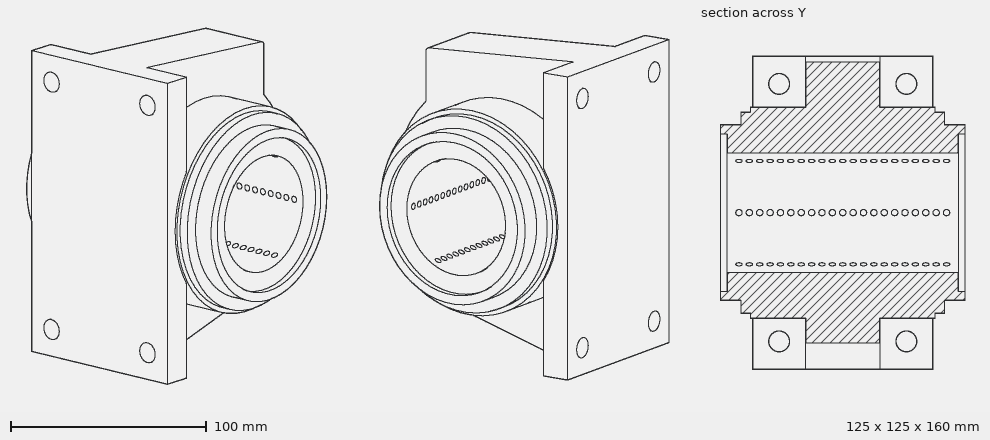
import cadquery as cq
import math

plate_width = 92.0
plate_height = 160.0
plate_thickness = 15.0
bolt_hole_diameter = 10.5
bolt_spacing_x = 65.0
bolt_spacing_z = 131.5

bore_axis_y = 60.0
web_width = 38.0
web_radius = 65.0
lug_back_y = bore_axis_y + 46.0
lug_back_z = 74.2
lug_corner_radius = 2.0
barrel_diameter = 108.0
barrel_length = 94.4

ring_diameter = 103.0
ring_span = 104.0

bearing_diameter = 90.0
bearing_length = 125.0
bearing_bore_diameter = 61.0
end_recess_diameter = 80.5
end_recess_depth = 3.5

shaft_diameter = 60.0
ball_pitch = 5.3
ball_radius = 3.0
ball_row_count = 6
balls_per_row = 21


def cylinder_along_x(diameter, length, center_x=0.0):
    """Cylinder on the bore axis, centred at center_x."""
    plane = cq.Workplane("YZ", origin=(center_x - length / 2, bore_axis_y, 0))
    return plane.circle(diameter / 2).extrude(length)


def make_plate():
    return cq.Workplane("XY").box(
        plate_width, plate_thickness, plate_height, centered=(True, False, True)
    )


def make_web():
    """Web whose lower edge runs tangent into the round back around the bore."""
    half_height = plate_height / 2
    corner_dy = plate_thickness - bore_axis_y
    corner_distance = math.hypot(corner_dy, half_height)
    corner_angle = math.atan2(-half_height, corner_dy)
    tangent_angle = corner_angle + math.acos(web_radius / corner_distance)
    tangent_point = (
        bore_axis_y + web_radius * math.cos(tangent_angle),
        web_radius * math.sin(tangent_angle),
    )
    lug_foot_z = math.sqrt(web_radius**2 - (lug_back_y - bore_axis_y) ** 2)

    web = (
        cq.Workplane("YZ")
        .moveTo(0, half_height)
        .lineTo(0, -half_height)
        .lineTo(plate_thickness, -half_height)
        .lineTo(*tangent_point)
        .threePointArc((bore_axis_y + web_radius, 0), (lug_back_y, lug_foot_z))
        .lineTo(lug_back_y, lug_back_z)
        .lineTo(plate_thickness, half_height)
        .close()
        .extrude(web_width / 2, both=True)
    )
    lug_corner = cq.selectors.NearestToPointSelector((0, lug_back_y, lug_back_z))
    return web.edges("|X").edges(lug_corner).fillet(lug_corner_radius)


def cut_bolt_holes(body):
    holes = (
        cq.Workplane("XZ")
        .rect(bolt_spacing_x, bolt_spacing_z, forConstruction=True)
        .vertices()
        .circle(bolt_hole_diameter / 2)
        .extrude(-plate_thickness)
    )
    return body.cut(holes)


def cut_bearing_bore(body):
    body = body.cut(cylinder_along_x(bearing_bore_diameter, bearing_length))
    for side in (-1, 1):
        recess_x = side * (bearing_length - end_recess_depth) / 2
        body = body.cut(cylinder_along_x(end_recess_diameter, end_recess_depth, recess_x))
    return body


def add_balls(body):
    """Evenly spaced rows of balls that touch the shaft diameter."""
    pitch_radius = shaft_diameter / 2 + ball_radius
    first_ball_x = -ball_pitch * (balls_per_row - 1) / 2
    balls = []
    for row in range(ball_row_count):
        angle = 2 * math.pi * row / ball_row_count
        y = bore_axis_y + pitch_radius * math.cos(angle)
        z = pitch_radius * math.sin(angle)
        for index in range(balls_per_row):
            x = first_ball_x + index * ball_pitch
            balls.append(cq.Workplane("XY").sphere(ball_radius).translate((x, y, z)).val())
    return cq.Workplane(body.val().fuse(*balls))


housing = make_plate().union(make_web())
housing = housing.union(cylinder_along_x(barrel_diameter, barrel_length))
housing = housing.union(cylinder_along_x(ring_diameter, ring_span))
housing = housing.union(cylinder_along_x(bearing_diameter, bearing_length))
housing = cut_bolt_holes(housing)
housing = cut_bearing_bore(housing)
result = add_balls(housing)